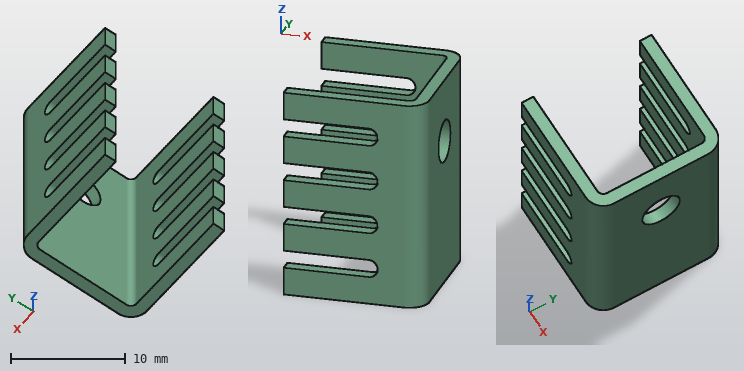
import cadquery as cq

depth = 12.7
width = 13.2
height = 19.05
thickness = 1.2
inner_bend_radius = 0.61
outer_bend_radius = inner_bend_radius + thickness

slot_count = 4
slot_width = 1.6
slot_depth = 8.52
finger_height = (height - slot_count * slot_width) / (slot_count + 1)
slot_pitch = finger_height + slot_width

hole_diameter = 3.81
hole_below_top = 5.75

open_end_x = -depth / 2
back_x = depth / 2


def bent_block(length, block_width, bend_radius):
    """Upright block from the open end, with its two +X corners rounded."""
    return (
        cq.Workplane("XY")
        .box(length, block_width, height, centered=(False, True, False))
        .edges("|Z and >X")
        .fillet(bend_radius)
        .translate((open_end_x, 0, 0))
    )


def slot_cutter(center_z):
    """Round-ended slot through both side walls, open at the -X end."""
    radius = slot_width / 2
    straight_end_x = open_end_x + slot_depth - radius
    return (
        cq.Workplane("XZ")
        .moveTo(open_end_x, center_z - radius)
        .lineTo(straight_end_x, center_z - radius)
        .threePointArc(
            (straight_end_x + radius, center_z),
            (straight_end_x, center_z + radius),
        )
        .lineTo(open_end_x, center_z + radius)
        .close()
        .extrude(width / 2, both=True)
    )


outer_block = bent_block(depth, width, outer_bend_radius)
inner_space = bent_block(depth - thickness, width - 2 * thickness, inner_bend_radius)
result = outer_block.cut(inner_space)

first_slot_z = finger_height + slot_width / 2
for index in range(slot_count):
    result = result.cut(slot_cutter(first_slot_z + index * slot_pitch))

hole_cutter = (
    cq.Workplane("YZ", origin=(back_x - thickness, 0, height - hole_below_top))
    .circle(hole_diameter / 2)
    .extrude(thickness)
)
result = result.cut(hole_cutter)